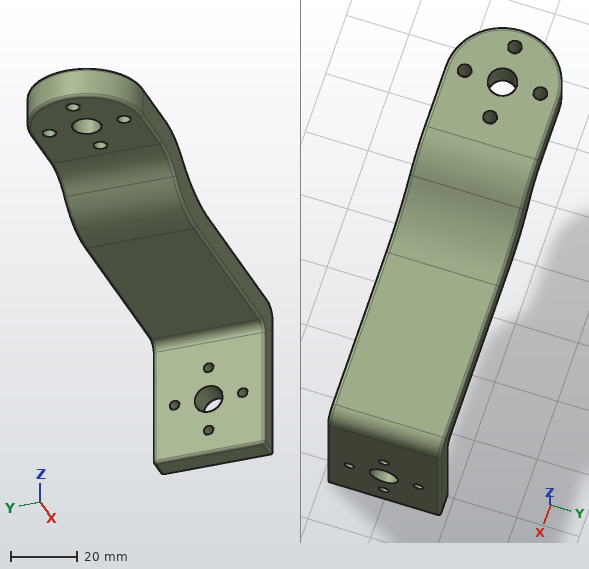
import cadquery as cq
import math

length = 134.0
width = 36.0
height = 65.0
pad_radius = width / 2
right_x = length - pad_radius

arm_thickness = 10.0
leg_thickness = 8.0
step_drop = 13.0
outer_bend_radius = 5.1
inner_bend_radius = 3.0
edge_radius = 1.0

upper_bend_start = 20.8
upper_bend_end = 58.7
lower_bend_start = 17.2
lower_bend_end = 47.3
inflection_fraction = 0.39

centre_hole_diameter = 9.0
pad_hole_diameter = 4.2
pad_hole_offset = 12.0
leg_hole_diameter = 3.1
leg_hole_offset = 11.0
leg_hole_height = 19.0


def s_bend_points(start_x, end_x, start_z):
    """Return a midpoint and an end point for each of two mutually tangent arcs."""
    run = end_x - start_x
    half_slope_angle = math.atan2(step_drop, run)
    sagitta_ratio = math.tan(half_slope_angle / 2) / 2

    def arc_mid(x0, z0, x1, z1, side):
        bulge_x = (z0 - z1) * sagitta_ratio * side
        bulge_z = (x1 - x0) * sagitta_ratio * side
        return ((x0 + x1) / 2 + bulge_x, (z0 + z1) / 2 + bulge_z)

    middle = (start_x + inflection_fraction * run, start_z - inflection_fraction * step_drop)
    end = (end_x, start_z - step_drop)
    crest = arc_mid(start_x, start_z, *middle, 1)
    trough = arc_mid(*middle, *end, -1)
    return crest, middle, trough, end


def bracket_profile():
    """Side outline of the bracket, extruded across its width."""
    upper_crest, upper_middle, upper_trough, upper_end = s_bend_points(
        upper_bend_start, upper_bend_end, 0
    )
    lower_crest, lower_middle, lower_trough, lower_end = s_bend_points(
        lower_bend_start, lower_bend_end, -arm_thickness
    )
    inner_x = right_x - leg_thickness
    inner_z = -step_drop - arm_thickness
    return (
        cq.Workplane("XZ")
        .moveTo(-pad_radius, 0)
        .lineTo(upper_bend_start, 0)
        .threePointArc(upper_crest, upper_middle)
        .threePointArc(upper_trough, upper_end)
        .lineTo(right_x - outer_bend_radius, -step_drop)
        .radiusArc((right_x, -step_drop - outer_bend_radius), outer_bend_radius)
        .lineTo(right_x, -height)
        .lineTo(inner_x, -height)
        .lineTo(inner_x, inner_z - inner_bend_radius)
        .radiusArc((inner_x - inner_bend_radius, inner_z), -inner_bend_radius)
        .lineTo(*lower_end)
        .threePointArc(lower_trough, lower_middle)
        .threePointArc(lower_crest, (lower_bend_start, -arm_thickness))
        .lineTo(-pad_radius, -arm_thickness)
        .close()
        .extrude(width / 2, both=True)
    )


def plan_outline():
    """Plan shape with a semicircular pad end."""
    return (
        cq.Workplane("XY")
        .moveTo(0, pad_radius)
        .threePointArc((-pad_radius, 0), (0, -pad_radius))
        .lineTo(right_x, -pad_radius)
        .lineTo(right_x, pad_radius)
        .close()
        .extrude(-height)
    )


def hole_cutter(plane, small_diameter, offset, depth):
    """A central hole ringed by four small holes."""
    centres = [(offset, 0), (0, offset), (-offset, 0), (0, -offset)]
    centre_hole = plane.circle(centre_hole_diameter / 2).extrude(depth)
    small_holes = plane.pushPoints(centres).circle(small_diameter / 2).extrude(depth)
    return centre_hole.union(small_holes)


body = bracket_profile().intersect(plan_outline())
side_edges = body.faces("<Y or >Y or <Z").edges().vals()
pad_rim = body.faces("<X").edges("%CIRCLE").vals()


def is_pad_seam(edge):
    """The curved pad end runs smoothly into the flat sides along two vertical lines."""
    return edge.geomType() == "LINE" and abs(edge.Center().x) < edge_radius


rounded_edges = [edge for edge in side_edges + pad_rim if not is_pad_seam(edge)]
body = body.newObject(rounded_edges).fillet(edge_radius)

pad_plane = cq.Workplane("XY")
leg_plane = cq.Workplane("YZ", origin=(right_x, 0, leg_hole_height - height))
body = body.cut(hole_cutter(pad_plane, pad_hole_diameter, pad_hole_offset, -arm_thickness))
result = body.cut(hole_cutter(leg_plane, leg_hole_diameter, leg_hole_offset, -leg_thickness))